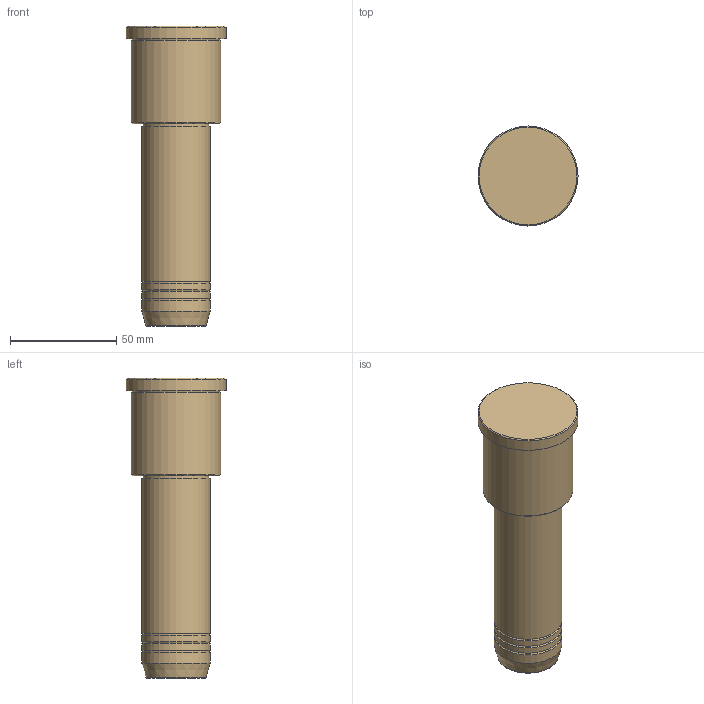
import cadquery as cq
import math

total_length = 141.0
head_diameter = 47.0
head_height = 6.0
head_chamfer = 0.5

collar_diameter = 42.0
collar_length = 40.0
collar_chamfer = 0.5

shank_diameter = 32.0
tip_length = 7.0
tip_angle = 15.0
tip_edge_radius = 0.5

relief_width = 1.0
relief_depth = 0.5

groove_radius = 0.5
groove_count = 3
groove_pitch = 4.0
lowest_groove_height = 12.5

head_radius = head_diameter / 2
collar_radius = collar_diameter / 2
shank_radius = shank_diameter / 2
relief_radius = shank_radius - relief_depth
tip_end_radius = shank_radius - tip_length * math.tan(math.radians(tip_angle))
head_base = total_length - head_height
collar_base = head_base - collar_length


def add_groove(profile, surface_radius, height):
    """Continue the profile up a surface and through a half-round groove centred at height."""
    groove_bottom = (surface_radius - groove_radius, height)
    groove_end = (surface_radius, height + groove_radius)
    return profile.lineTo(surface_radius, height - groove_radius).threePointArc(groove_bottom, groove_end)


def add_shank(profile):
    """Tapered tip, ring grooves and the relief that ends at the collar."""
    profile = profile.lineTo(tip_end_radius, 0).lineTo(shank_radius, tip_length)
    for index in range(groove_count):
        profile = add_groove(profile, shank_radius, lowest_groove_height + index * groove_pitch)
    profile = profile.lineTo(shank_radius, collar_base - relief_width)
    profile = profile.lineTo(relief_radius, collar_base - relief_width)
    return profile.lineTo(relief_radius, collar_base)


def add_collar(profile):
    """Collar with a chamfered lower edge and a groove against the head."""
    profile = profile.lineTo(collar_radius - collar_chamfer, collar_base)
    profile = profile.lineTo(collar_radius, collar_base + collar_chamfer)
    return add_groove(profile, collar_radius, head_base - groove_radius)


def add_head(profile):
    """Head with a chamfered top edge, closed at the axis."""
    profile = profile.lineTo(head_radius, head_base)
    profile = profile.lineTo(head_radius, total_length - head_chamfer)
    profile = profile.lineTo(head_radius - head_chamfer, total_length)
    return profile.lineTo(0, total_length)


profile = cq.Workplane("XZ").moveTo(0, 0)
profile = add_shank(profile)
profile = add_collar(profile)
profile = add_head(profile)
pin = profile.close().revolve(360, (0, 0, 0), (0, 1, 0))
result = pin.faces("<Z").edges().fillet(tip_edge_radius)